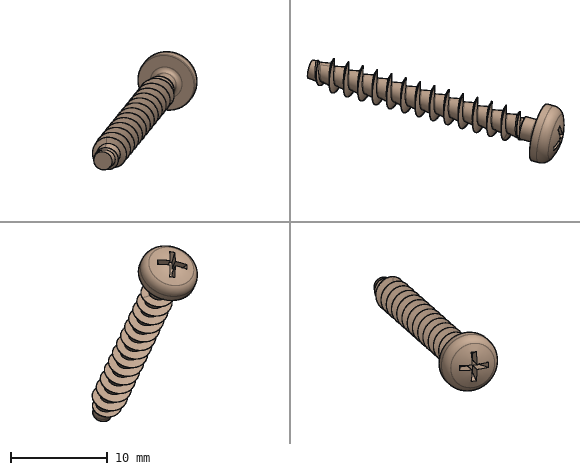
import cadquery as cq
import math


TOTAL_LENGTH = 27.45
HEAD_HEIGHT = 2.45
TIP_HEIGHT = HEAD_HEIGHT - TOTAL_LENGTH

HEAD_RADIUS = 3.05
DOME_RADIUS = 5.2
DOME_CORNER_RADIUS = 1.18
HEAD_EDGE_ROUND = 0.08

RECESS_WIDTH = 0.55
RECESS_LENGTH = 3.4
RECESS_DEPTH = 1.37
RECESS_END_TAPER = 25.0
RECESS_CUTTER_TOP = 2 * HEAD_HEIGHT

SHANK_RADIUS = 1.2
SHANK_LENGTH = 1.73
NECK_FILLET = 0.5
CORE_RADIUS = 1.0

THREAD_SPAN = 21.95
TURNS_IN_SPAN = 14
PITCH = THREAD_SPAN / TURNS_IN_SPAN
CREST_RADIUS = 1.78
CREST_WIDTH = 0.05
FIN_FOOT_HALF_WIDTH = 0.25
FULL_CREST_TOP = -3.35
FULL_CREST_BOTTOM = -22.7
RUNOUT_TURNS = 1.3
BARE_LEAD_TURNS = 0.8

RAMP_TOP_RADIUS = 1.18
RAMP_START = 0.22
RAMP_END = 1.3

BURIED_DEPTH = 0.015
FIN_FOOT_DEPTH = 0.05
BURIED_RADIUS = CORE_RADIUS - BURIED_DEPTH
FIN_FOOT_RADIUS = CORE_RADIUS - FIN_FOOT_DEPTH

CREST_PHASE_HEIGHT = -12.07
POINTS_PER_TURN = 16


def head_and_shank():
    """Revolve the domed head, the plain shank and the threaded core."""
    dome_centre = HEAD_HEIGHT - math.sqrt(DOME_RADIUS**2 - RECESS_WIDTH**2 / 2)
    corner_x = HEAD_RADIUS - DOME_CORNER_RADIUS
    dome_angle = math.asin(corner_x / (DOME_RADIUS - DOME_CORNER_RADIUS))
    corner_z = dome_centre + (DOME_RADIUS - DOME_CORNER_RADIUS) * math.cos(dome_angle)

    def on_dome(angle):
        return (DOME_RADIUS * math.sin(angle), dome_centre + DOME_RADIUS * math.cos(angle))

    corner_angle = (dome_angle + math.pi / 2) / 2
    corner_middle = (
        corner_x + DOME_CORNER_RADIUS * math.sin(corner_angle),
        corner_z + DOME_CORNER_RADIUS * math.cos(corner_angle),
    )
    fillet_inset = NECK_FILLET * (1 - math.sqrt(0.5))
    edge_inset = HEAD_EDGE_ROUND * (1 - math.sqrt(0.5))
    return (
        cq.Workplane("XZ")
        .moveTo(*on_dome(0))
        .threePointArc(on_dome(dome_angle / 2), on_dome(dome_angle))
        .threePointArc(corner_middle, (HEAD_RADIUS, corner_z))
        .lineTo(HEAD_RADIUS, HEAD_EDGE_ROUND)
        .threePointArc((HEAD_RADIUS - edge_inset, edge_inset), (HEAD_RADIUS - HEAD_EDGE_ROUND, 0))
        .lineTo(SHANK_RADIUS + NECK_FILLET, 0)
        .threePointArc(
            (SHANK_RADIUS + fillet_inset, -fillet_inset),
            (SHANK_RADIUS, -NECK_FILLET),
        )
        .lineTo(SHANK_RADIUS, -SHANK_LENGTH)
        .lineTo(CORE_RADIUS, -SHANK_LENGTH)
        .lineTo(CORE_RADIUS, TIP_HEIGHT)
        .lineTo(0, TIP_HEIGHT)
        .close()
        .revolve(360, (0, 0), (0, 1))
    )


def cross_recess():
    """Two crossed wings whose ends slope inwards towards the bottom of the recess."""
    floor_length = RECESS_LENGTH - 2 * RECESS_DEPTH * math.tan(math.radians(RECESS_END_TAPER))
    wing = (
        cq.Workplane("XZ")
        .moveTo(-RECESS_LENGTH / 2, RECESS_CUTTER_TOP)
        .lineTo(RECESS_LENGTH / 2, RECESS_CUTTER_TOP)
        .lineTo(RECESS_LENGTH / 2, HEAD_HEIGHT)
        .lineTo(floor_length / 2, HEAD_HEIGHT - RECESS_DEPTH)
        .lineTo(-floor_length / 2, HEAD_HEIGHT - RECESS_DEPTH)
        .lineTo(-RECESS_LENGTH / 2, HEAD_HEIGHT)
        .close()
        .extrude(RECESS_WIDTH / 2, both=True)
    )
    return wing.union(wing.rotate((0, 0, 0), (0, 0, 1), 90))


def helical_ridge(top_profile, bottom_profile, top_height, turns):
    """Wind a profile downwards for some turns, changing evenly from one profile to the other.

    A profile lists (radius, height above the crest line) points in order around its outline.
    """
    point_count = math.ceil(turns * POINTS_PER_TURN) + 1
    start_angle = math.pi + 2 * math.pi * (top_height - CREST_PHASE_HEIGHT) / PITCH

    def edge_path(top_point, bottom_point):
        path = []
        for index in range(point_count):
            share = index / (point_count - 1)
            radius = top_point[0] + share * (bottom_point[0] - top_point[0])
            offset = top_point[1] + share * (bottom_point[1] - top_point[1])
            angle = start_angle - 2 * math.pi * turns * share
            height = top_height - PITCH * turns * share + offset
            path.append(cq.Vector(radius * math.cos(angle), radius * math.sin(angle), height))
        return path

    paths = [edge_path(*ends) for ends in zip(top_profile, bottom_profile)]
    edges = [cq.Edge.makeSpline(path) for path in paths]
    next_edges = edges[1:] + edges[:1]
    faces = [cq.Face.makeRuledSurface(*pair) for pair in zip(edges, next_edges)]
    for end in (0, -1):
        outline = cq.Wire.makePolygon([path[end] for path in paths], close=True)
        faces.append(cq.Face.makeFromWires(outline))
    return cq.Solid.makeSolid(cq.Shell.makeShell(faces)).fix()


def thread_profile(crest_radius, ramp_radius):
    """Fin with the root ramp on its tip side, closed inside the core."""
    return [
        (FIN_FOOT_RADIUS, FIN_FOOT_HALF_WIDTH),
        (crest_radius, CREST_WIDTH / 2),
        (crest_radius, -CREST_WIDTH / 2),
        (ramp_radius, -RAMP_START),
        (BURIED_RADIUS, -RAMP_END),
        (FIN_FOOT_RADIUS, -RAMP_START),
    ]


def thread_ridges():
    """Full thread that rises from the bare root ramp at the shank and sinks into the core at the tip."""
    bare = thread_profile(RAMP_TOP_RADIUS, RAMP_TOP_RADIUS)
    full = thread_profile(CREST_RADIUS, RAMP_TOP_RADIUS)
    sunk = thread_profile(BURIED_RADIUS, BURIED_RADIUS)
    full_turns = (FULL_CREST_TOP - FULL_CREST_BOTTOM) / PITCH
    stages = [
        (bare, bare, BARE_LEAD_TURNS),
        (bare, full, RUNOUT_TURNS),
        (full, full, full_turns),
        (full, sunk, RUNOUT_TURNS),
    ]
    height = FULL_CREST_TOP + (RUNOUT_TURNS + BARE_LEAD_TURNS) * PITCH
    ridges = []
    for top_profile, bottom_profile, turns in stages:
        ridges.append(helical_ridge(top_profile, bottom_profile, height, turns))
        height -= turns * PITCH
    return ridges


def build_screw():
    screw = head_and_shank()
    for ridge in thread_ridges():
        screw = screw.union(cq.Workplane(ridge))
    below_tip = cq.Workplane("XY", origin=(0, 0, TIP_HEIGHT)).circle(HEAD_RADIUS).extrude(-2 * PITCH)
    return screw.cut(below_tip).cut(cross_recess()).rotate((0, 0, 0), (1, 0, 0), -90)


result = build_screw()